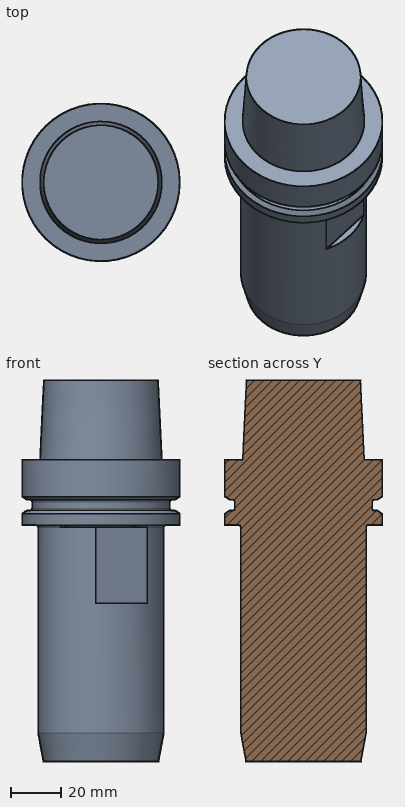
import cadquery as cq
import math

total_height = 151.9
flange_top = 120.3
flange_bottom = 94.2
groove_top = 105.5
groove_bottom = 98.7
tip_height = 11.4

flange_radius = 62.9 / 2
groove_radius = 55.0 / 2
body_radius = 25.0
tip_radius = 23.0
shank_top_radius = 22.8
shank_base_radius = 24.3
groove_flank_height = 1.4
groove_shoulder_radius = 29.5
groove_fillet = 0.8
neck_fillet = 0.9

flat_bottom = 63.0
flat_width = 22.2
flat_angle = -68.6

lower_shoulder = groove_bottom + groove_flank_height
upper_shoulder = groove_top - groove_flank_height

profile = [
    (0, 0),
    (tip_radius, 0),
    (body_radius, tip_height),
    (body_radius, flange_bottom),
    (flange_radius, flange_bottom),
    (flange_radius, groove_bottom),
    (groove_shoulder_radius, lower_shoulder),
    (groove_radius, lower_shoulder),
    (groove_radius, upper_shoulder),
    (groove_shoulder_radius, upper_shoulder),
    (flange_radius, groove_top),
    (flange_radius, flange_top),
    (shank_base_radius, flange_top),
    (shank_top_radius, total_height),
    (0, total_height),
]
body = cq.Workplane("XZ").polyline(profile).close().revolve(360, (0, 0), (0, 1))


def fillet_ring(solid, radius, height, fillet):
    """Round the circular edge with the given radius and height."""
    tolerance = 0.08
    reach = radius + tolerance
    ring = cq.selectors.BoxSelector(
        (-reach, -reach, height - tolerance),
        (reach, reach, height + tolerance),
        boundingbox=True,
    )
    return solid.edges(ring).fillet(fillet)


body = fillet_ring(body, groove_radius, lower_shoulder, groove_fillet)
body = fillet_ring(body, groove_radius, upper_shoulder, groove_fillet)
body = fillet_ring(body, body_radius, flange_bottom, neck_fillet)

flat_top = flange_bottom - neck_fillet
flat_distance = math.sqrt(body_radius**2 - (flat_width / 2) ** 2)
cutter = (
    cq.Workplane("XY")
    .box(body_radius, 2 * body_radius, flat_top - flat_bottom, centered=(False, True, False))
    .translate((flat_distance, 0, flat_bottom))
    .rotate((0, 0, 0), (0, 0, 1), flat_angle)
)
result = body.cut(cutter)